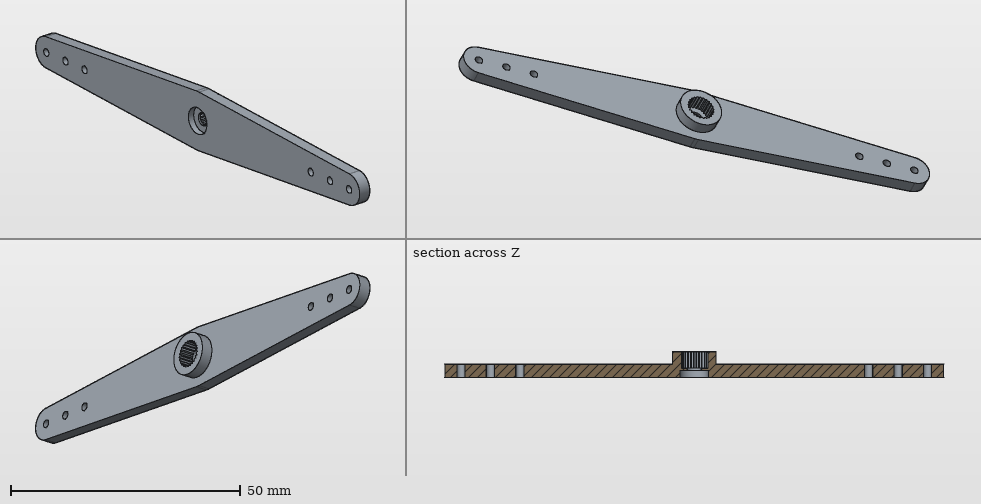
import cadquery as cq
import math

length = 108.9
width = 13.9
tip_radius = 3.7
plate_thickness = 2.9
boss_height = 2.7
boss_diameter = 9.6
bore_diameter = 3.0
recess_diameter = 6.2
recess_depth = 1.5
socket_depth = 3.6
socket_root_diameter = 6.0
socket_tip_diameter = 5.5
spline_teeth = 25
link_hole_diameter = 1.7
link_hole_offsets = (38.0, 44.4, 50.9)

crown_radius = width / 2
tip_center = length / 2 - tip_radius
total_thickness = plate_thickness + boss_height

edge_angle = math.asin((crown_radius - tip_radius) / tip_center)
normal_x = math.sin(edge_angle)
normal_z = math.cos(edge_angle)
tip_x = tip_center + tip_radius * normal_x
tip_z = tip_radius * normal_z
crown_x = crown_radius * normal_x
crown_z = crown_radius * normal_z


def cylinder_along_y(diameter, start, depth, x=0.0):
    """Cylinder growing toward +Y from the plane y = start."""
    return cq.Workplane("XZ", origin=(x, start, 0)).circle(diameter / 2).extrude(-depth)


def tapered_plate():
    """Double-ended arm with round tips and a slightly rounded crown."""
    return (
        cq.Workplane("XZ")
        .moveTo(-tip_x, tip_z)
        .lineTo(-crown_x, crown_z)
        .threePointArc((0, crown_radius), (crown_x, crown_z))
        .lineTo(tip_x, tip_z)
        .threePointArc((length / 2, 0), (tip_x, -tip_z))
        .lineTo(crown_x, -crown_z)
        .threePointArc((0, -crown_radius), (-crown_x, -crown_z))
        .lineTo(-tip_x, -tip_z)
        .threePointArc((-length / 2, 0), (-tip_x, tip_z))
        .close()
        .extrude(-plate_thickness)
    )


def splined_socket():
    """Cutter for the toothed shaft socket, opening at the boss end."""
    points = []
    for index in range(2 * spline_teeth):
        diameter = socket_tip_diameter if index % 2 else socket_root_diameter
        angle = math.pi * index / spline_teeth
        points.append((diameter / 2 * math.cos(angle), diameter / 2 * math.sin(angle)))
    socket_floor = total_thickness - socket_depth
    return cq.Workplane("XZ", origin=(0, socket_floor, 0)).polyline(points).close().extrude(-socket_depth)


result = tapered_plate().union(cylinder_along_y(boss_diameter, plate_thickness, boss_height))

result = result.cut(cylinder_along_y(bore_diameter, 0, total_thickness))
result = result.cut(cylinder_along_y(recess_diameter, 0, recess_depth))
result = result.cut(splined_socket())

for offset in link_hole_offsets:
    for side in (-1, 1):
        result = result.cut(cylinder_along_y(link_hole_diameter, 0, plate_thickness, side * offset))